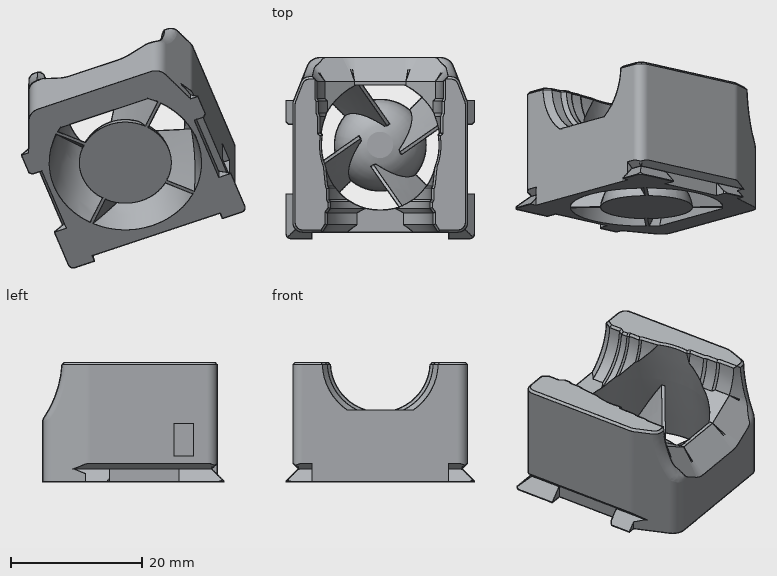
import cadquery as cq
import math

HEIGHT = 18.2
HALF_WIDTH = 13.3
FRONT_Y = -13.25
BACK_Y = 13.35
SLANT_START_Y = 6.5
BACK_HALF_WIDTH = 10.6
FRONT_CORNER_RADIUS = 1.5
BACK_CORNER_RADIUS = 2.1
TOP_CHAMFER = 0.35

SCOOP_TOP = (10.4, HEIGHT)
SCOOP_MIDDLE = (11.15, 13.9)
SCOOP_BOTTOM = (BACK_Y, 9.5)
SCOOP_ROUND = 1.4

FLOOR_Z = 10.95
FLOOR_HALF_WIDTH = 3.9
SLOPE_ANGLE = 30
BACK_RADIUS = 9.6
FLARE_START_Y = 9.7

TROUGH_STEPS = [
    (FRONT_Y, 8.83),
    (-12.1, 8.06),
    (-10.3, 8.06),
    (-9.6, 7.57),
    (-8.6, 7.57),
    (-8.3, 7.8),
    (-6.5, 7.8),
    (-6.2, 8.0),
    (1.6, 8.8),
    (1.9, 9.2),
    (4.4, 9.2),
    (4.9, 9.4),
    (6.7, 9.4),
    (7.1, BACK_RADIUS),
    (BACK_Y, BACK_RADIUS),
]

DUCT_RADIUS = 9.85
DUCT_TOP_RADIUS = 8.9
DUCT_BOTTOM_RADIUS = 11.6
DUCT_BACK_Y = 9.15

HUB_RADIUS = 7.0
HUB_TIP_RADIUS = 2.0
HUB_TOP_Z = 5.2
HUB_SHOULDER = (5.3, 3.5)
BLADE_COUNT = 4
BLADE_THICKNESS = 0.5
BLADE_ROOT = (3.3, -1.1, 5.6)
BLADE_TIP = (8.9, 2.8, 9.4)
BLADE_TRAIL_ROOT = (2.6, 3.2, 0.0)
BLADE_TRAIL_TIP = (7.4, 8.0, 0.0)
BLADE_EMBED = 0.3
BLADE_OVERRUN = 2.5

FOOT_OVERHANG = 1.05
FOOT_FRONT_OVERHANG = 1.0
FOOT_LIP = 0.1
FOOT_CORNER_RADIUS = 0.8
FOOT_TOP_Z = 1.94
UNDERCUT_INSET = 0.9
UNDERCUT_TOP_Z = FOOT_TOP_Z + UNDERCUT_INSET
FOOT_INNER_X = 10.4
FRONT_FOOT_END_Y = -7.4
BACK_FOOT_START_Y = 3.15
BACK_FOOT_END_Y = 6.8
BACK_FOOT_BEVEL = 0.4

POCKET_Y = (-9.62, -6.66)
POCKET_Z = (3.95, 8.9)
POCKET_DEPTH = 1.2

MARGIN = 5.0


def block(x_range, y_range, z_range):
    """Box spanning the given (low, high) ranges."""
    size = [high - low for low, high in (x_range, y_range, z_range)]
    corner = (x_range[0], y_range[0], z_range[0])
    return cq.Workplane("XY").box(*size, centered=False).translate(corner)


def in_box(low_corner, high_corner):
    """Selector for the edges or faces centred inside a box."""
    return cq.selectors.BoxSelector(low_corner, high_corner)


def housing():
    """Square block with slanted back corners and rounded upright edges."""
    outline = [
        (-HALF_WIDTH, FRONT_Y),
        (HALF_WIDTH, FRONT_Y),
        (HALF_WIDTH, SLANT_START_Y),
        (BACK_HALF_WIDTH, BACK_Y),
        (-BACK_HALF_WIDTH, BACK_Y),
        (-HALF_WIDTH, SLANT_START_Y),
    ]
    body = cq.Workplane("XY").polyline(outline).close().extrude(HEIGHT)
    body = body.edges("|Z and <Y").fillet(FRONT_CORNER_RADIUS)
    reach = HALF_WIDTH + MARGIN
    side_edges = body.edges("|Z").edges(in_box((-reach, 0, 0), (reach, reach, HEIGHT)))
    return side_edges.fillet(BACK_CORNER_RADIUS)


def back_scoop():
    """Material removed above the concave arc across the back."""
    scoop_floor_z = SCOOP_BOTTOM[1]
    section = (
        cq.Workplane("YZ", origin=(-HALF_WIDTH, 0, 0))
        .moveTo(*SCOOP_TOP)
        .threePointArc(SCOOP_MIDDLE, SCOOP_BOTTOM)
        .lineTo(BACK_Y + MARGIN, scoop_floor_z)
        .lineTo(BACK_Y + MARGIN, HEIGHT)
        .close()
    )
    return section.extrude(2 * HALF_WIDTH)


def rounded_housing():
    """Housing with its back scooped, the scoop rounded into the sides and the top edge chamfered."""
    body = housing().cut(back_scoop())
    scoop_face = body.faces("%CYLINDER").faces(in_box((-MARGIN, 0, 0), (MARGIN, BACK_Y, HEIGHT)))
    body = scoop_face.edges("not(>Z)").fillet(SCOOP_ROUND)
    return body.faces(">Z").edges().chamfer(TOP_CHAMFER)


def trough():
    """Stepped round channel about the top edge plane, clipped by floor and sloped sides."""
    profile = [(0, FRONT_Y)] + [(radius, y) for y, radius in TROUGH_STEPS] + [(0, BACK_Y)]
    channel = cq.Workplane("XY").polyline(profile).close()
    channel = channel.revolve(360, (0, 0), (0, 1)).translate((0, 0, HEIGHT))
    side = HALF_WIDTH
    front_clip = block((-side, side), (FRONT_Y, 0), (FLOOR_Z, HEIGHT + side))
    slope_z = FLOOR_Z + (side - FLOOR_HALF_WIDTH) * math.tan(math.radians(SLOPE_ANGLE))
    back_section = [
        (-FLOOR_HALF_WIDTH, FLOOR_Z),
        (FLOOR_HALF_WIDTH, FLOOR_Z),
        (side, slope_z),
        (side, HEIGHT + side),
        (-side, HEIGHT + side),
        (-side, slope_z),
    ]
    back_clip = cq.Workplane("XZ").polyline(back_section).close().extrude(-BACK_Y)
    return channel.intersect(front_clip.union(back_clip))


def trough_flare():
    """45 degree flare of the trough section toward the back face."""
    slope = math.radians(SLOPE_ANGLE)
    slope_distance = FLOOR_HALF_WIDTH * math.sin(slope) + (HEIGHT - FLOOR_Z) * math.cos(slope)
    start_angle = slope - math.pi / 2 + math.acos(slope_distance / BACK_RADIUS)

    def on_arc(angle, side):
        return (side * BACK_RADIUS * math.cos(angle), HEIGHT + BACK_RADIUS * math.sin(angle))

    plane = cq.Plane(origin=(0, FLARE_START_Y, 0), xDir=(-1, 0, 0), normal=(0, 1, 0))
    section = (
        cq.Workplane(plane)
        .moveTo(-FLOOR_HALF_WIDTH, FLOOR_Z)
        .lineTo(FLOOR_HALF_WIDTH, FLOOR_Z)
        .lineTo(*on_arc(start_angle, 1))
        .threePointArc(on_arc(start_angle / 2, 1), on_arc(0, 1))
        .lineTo(BACK_RADIUS, HEIGHT + MARGIN)
        .lineTo(-BACK_RADIUS, HEIGHT + MARGIN)
        .lineTo(*on_arc(0, -1))
        .threePointArc(on_arc(start_angle / 2, -1), on_arc(start_angle, -1))
        .close()
    )
    return section.extrude(BACK_Y - FLARE_START_Y, taper=-45)


def mouth_chamfer():
    """Bevel along the top edges of the trough and of the duct."""
    right = [(radius, y) for y, radius in TROUGH_STEPS]
    right = [(right[0][0], FRONT_Y - MARGIN)] + right[:-1] + [(right[-1][0], BACK_Y + MARGIN)]
    left = [(-x, y) for x, y in reversed(right)]
    level = cq.Workplane("XY", origin=(0, 0, HEIGHT - TOP_CHAMFER))
    trough_bevel = level.polyline(right + left).close().extrude(TOP_CHAMFER, taper=-45)
    duct_bevel = level.circle(DUCT_TOP_RADIUS).extrude(TOP_CHAMFER, taper=-45)
    return trough_bevel.union(duct_bevel)


def duct():
    """Vertical bore narrowing upward in two cones, flat at the back."""
    profile = [
        (0, 0),
        (DUCT_BOTTOM_RADIUS, 0),
        (DUCT_RADIUS, FLOOR_Z),
        (DUCT_TOP_RADIUS, HEIGHT),
        (0, HEIGHT),
    ]
    bore = cq.Workplane("XZ").polyline(profile).close().revolve(360, (0, 0), (0, 1))
    reach = HALF_WIDTH
    return bore.intersect(block((-reach, reach), (-reach, DUCT_BACK_Y), (0, HEIGHT)))


def hub():
    """Domed hub with a flat tip."""
    profile = (
        cq.Workplane("XZ")
        .lineTo(HUB_RADIUS, 0)
        .threePointArc(HUB_SHOULDER, (HUB_TIP_RADIUS, HUB_TOP_Z))
        .lineTo(0, HUB_TOP_Z)
        .close()
    )
    return profile.revolve(360, (0, 0), (0, 1))


def strip(start, end, overrun):
    """Thin closed outline along start-end, lengthened slightly inward and by overrun outward."""
    run = cq.Vector(*end) - cq.Vector(*start)
    across = cq.Vector(-run.y, run.x, 0).normalized() * (BLADE_THICKNESS / 2)
    near = cq.Vector(*start) - run.normalized() * BLADE_EMBED
    far = cq.Vector(*end) + run.normalized() * overrun
    corners = [near - across, far - across, far + across, near + across]
    return cq.Wire.makePolygon(corners, close=True)


def fan():
    """Hub with pitched blades, each ruled from a rising leading edge to a low trailing edge."""
    leading = strip(BLADE_ROOT, BLADE_TIP, BLADE_OVERRUN)
    trailing = strip(BLADE_TRAIL_ROOT, BLADE_TRAIL_TIP, BLADE_OVERRUN)
    blade = cq.Workplane(cq.Solid.makeLoft([trailing, leading], True))
    limit = cq.Solid.makeCone(DUCT_BOTTOM_RADIUS + BLADE_EMBED, DUCT_RADIUS + BLADE_EMBED, FLOOR_Z)
    blade = blade.intersect(cq.Workplane(limit))
    rotor = hub()
    for index in range(BLADE_COUNT):
        rotor = rotor.union(blade.rotate((0, 0, 0), (0, 0, 1), index * 360 / BLADE_COUNT))
    return rotor


def centred_plan(half_width, front_y, z):
    """Rectangle symmetric in X from front_y to well behind the housing."""
    depth = BACK_Y + MARGIN - front_y
    return cq.Workplane("XY", origin=(0, front_y + depth / 2, z)).rect(2 * half_width, depth)


def undercut():
    """Material removed under the side walls and at the two front corners."""
    half_core = HALF_WIDTH - UNDERCUT_INSET
    core_front = FRONT_Y + UNDERCUT_INSET
    core = centred_plan(half_core, core_front, 0).extrude(FOOT_TOP_Z)
    upper = centred_plan(half_core, core_front, FOOT_TOP_Z).extrude(UNDERCUT_INSET, taper=-45)
    reach = HALF_WIDTH + MARGIN
    slab = block((-reach, reach), (-reach, BACK_Y), (0, UNDERCUT_TOP_Z))
    front_wall = block((-FOOT_INNER_X, FOOT_INNER_X), (-reach, 0), (0, UNDERCUT_TOP_Z))
    return slab.cut(core).cut(upper).cut(front_wall)


def feet():
    """Flared feet at the front corners and toward the back of each side."""
    half = HALF_WIDTH + FOOT_OVERHANG
    front = FRONT_Y - FOOT_FRONT_OVERHANG
    rise = FOOT_TOP_Z - FOOT_LIP
    lip = centred_plan(half, front, 0).extrude(FOOT_LIP)
    flare = centred_plan(half, front, FOOT_LIP).extrude(rise, taper=45)
    skirt = lip.union(flare).intersect(block((-half, half), (front, BACK_Y), (0, FOOT_TOP_Z)))
    behind_feet = block((-half, half), (BACK_FOOT_END_Y, BACK_Y), (0, FOOT_TOP_Z))
    all_feet = skirt.intersect(housing()).intersect(behind_feet)
    for low, high, outer in ((-half, -FOOT_INNER_X, "<X"), (FOOT_INNER_X, half, ">X")):
        front_zone = block((low, high), (front, FRONT_FOOT_END_Y), (0, FOOT_TOP_Z))
        front_zone = front_zone.edges("|Z and <Y").edges(outer).fillet(FOOT_CORNER_RADIUS)
        back_zone = block((low, high), (BACK_FOOT_START_Y, BACK_FOOT_END_Y), (0, FOOT_TOP_Z))
        back_zone = back_zone.edges("|Z and <Y").edges(outer).chamfer(BACK_FOOT_BEVEL)
        all_feet = all_feet.union(skirt.intersect(front_zone)).union(skirt.intersect(back_zone))
    return all_feet


def side_pocket():
    """Shallow rectangular pocket in the -X wall."""
    return block((-HALF_WIDTH, -HALF_WIDTH + POCKET_DEPTH), POCKET_Y, POCKET_Z)


body = rounded_housing()
body = body.cut(trough()).cut(trough_flare()).cut(mouth_chamfer())
body = body.cut(undercut()).union(feet())
body = body.cut(duct()).cut(side_pocket())
result = body.union(fan())